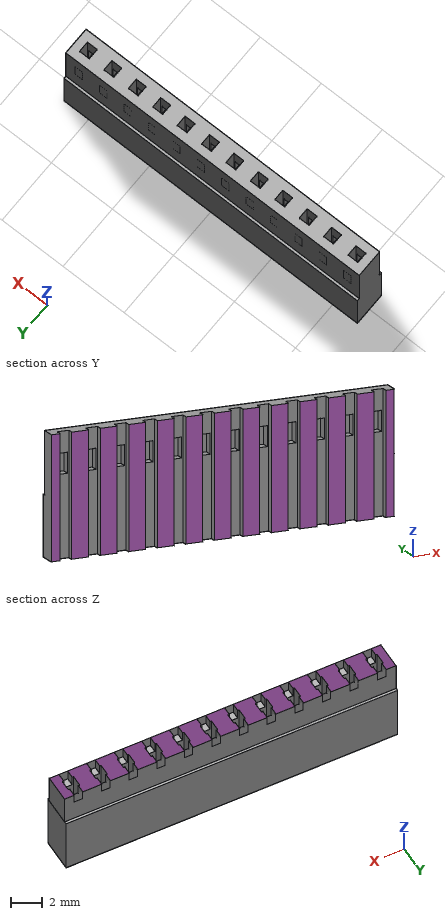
import cadquery as cq

total_height = 8.5

base_length = 24.04
base_width = 2.45
base_height = 4.2

upper_length = 24.05
upper_width = 2.07
upper_height = total_height - base_height

contact_count = 12
contact_pitch = 2.0
opening_side = 0.8

pocket_length = 0.6
pocket_height = 1.4
pocket_bottom = 5.65
pocket_wall = 0.065
pocket_width = upper_width - 2 * pocket_wall


def block(length, width, height, bottom, center_x=0):
    """Upright block centred on Y, standing on the level Z = bottom."""
    return (
        cq.Workplane("XY")
        .box(length, width, height, centered=(True, True, False))
        .translate((center_x, 0, bottom))
    )


def contact_row(length, width, height, bottom):
    """One block at each contact position."""
    return (
        cq.Workplane("XY")
        .workplane(offset=bottom)
        .rarray(contact_pitch, 1, contact_count, 1)
        .rect(length, width)
        .extrude(height)
    )


def make_housing():
    """Stepped bar: wide base with a narrower section on top."""
    base_center_x = (base_length - upper_length) / 2
    base = block(base_length, base_width, base_height, 0, base_center_x)
    upper = block(upper_length, upper_width, upper_height, base_height)
    return base.union(upper)


contact_openings = contact_row(opening_side, opening_side, total_height, 0)
contact_pockets = contact_row(pocket_length, pocket_width, pocket_height, pocket_bottom)

result = make_housing().cut(contact_openings).cut(contact_pockets)